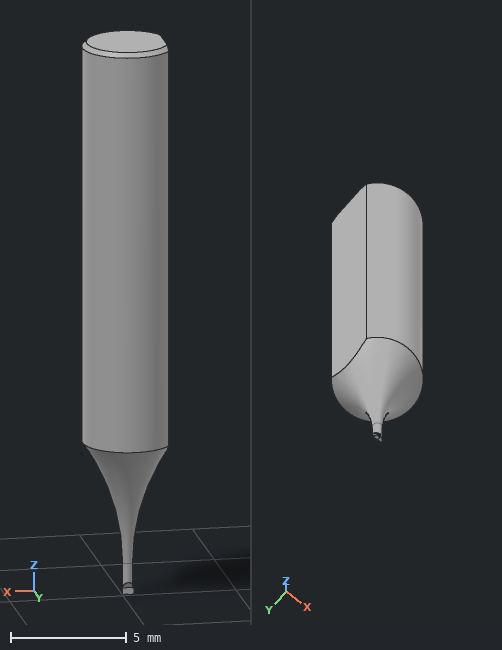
import cadquery as cq
import math

total_length = 25.0
shank_radius = 2.0
shank_bottom = 7.0
top_chamfer = 0.2
flat_offset = 1.6

neck_radius = 0.22
neck_top = 1.5
neck_bottom = 0.05

cutting_face_y = -0.02
relief_bottom = 0.35
relief_angle = 50.0

tooth_reach = 0.3
tooth_height = 0.32
nose_setback = 0.088
end_clearance_angle = 15.0

heel_height = 0.22
heel_face_y = -0.18


def flare_midpoint():
    """Point halfway along the flare arc, which leaves the neck tangentially."""
    rise = shank_bottom - neck_top
    spread = shank_radius - neck_radius
    flare_radius = (rise**2 + spread**2) / (2 * spread)
    half_sweep = math.asin(rise / flare_radius) / 2
    return (
        neck_radius + flare_radius * (1 - math.cos(half_sweep)),
        neck_top + flare_radius * math.sin(half_sweep),
    )


def turned_body():
    """Shank, flare and neck as one revolved solid."""
    mid_radius, mid_height = flare_midpoint()
    return (
        cq.Workplane("YZ")
        .moveTo(0, neck_bottom)
        .lineTo(-neck_radius, neck_bottom)
        .lineTo(-neck_radius, neck_top)
        .threePointArc((-mid_radius, mid_height), (-shank_radius, shank_bottom))
        .lineTo(-shank_radius, total_length - top_chamfer)
        .lineTo(top_chamfer - shank_radius, total_length)
        .lineTo(0, total_length)
        .close()
        .revolve(360, (0, 0), (0, 1))
    )


def shank_flat():
    """Material beyond the clamping flat on the -X side."""
    width = 2 * shank_radius
    return cq.Workplane("XY").box(
        width, width, total_length, centered=(False, True, False)
    ).translate((-flat_offset - width, 0, 0))


def face_relief():
    """Space on the +Y side of the cutting face, running out on a slope."""
    margin = 2 * neck_radius
    slope_rise = (margin - cutting_face_y) * math.tan(math.radians(relief_angle))
    return (
        cq.Workplane("YZ")
        .moveTo(cutting_face_y, 0)
        .lineTo(cutting_face_y, relief_bottom)
        .lineTo(margin, relief_bottom + slope_rise)
        .lineTo(margin, 0)
        .close()
        .extrude(margin, both=True)
    )


def tooth_blank():
    """Quarter section that reaches past the neck on -X and blends into it at X = 0."""
    back_radius = (tooth_reach**2 + neck_radius**2) / (2 * neck_radius)
    back_centre = back_radius - neck_radius
    half_sweep = math.asin(tooth_reach / back_radius) / 2
    back_middle = (
        -back_radius * math.sin(half_sweep),
        back_centre - back_radius * math.cos(half_sweep),
    )
    return (
        cq.Workplane("XY")
        .moveTo(0, 0)
        .lineTo(-tooth_reach, 0)
        .threePointArc(back_middle, (0, -neck_radius))
        .close()
        .extrude(tooth_height)
    )


def end_clearance():
    """Space under the pointed cutting edge, rising towards -Y behind the cutting face."""
    depth = 2 * neck_radius
    rise = depth * math.tan(math.radians(end_clearance_angle))
    edge_outline = (
        cq.Workplane("XZ", origin=(0, cutting_face_y, 0))
        .moveTo(0, neck_bottom)
        .lineTo(nose_setback - tooth_reach, 0)
        .lineTo(-tooth_reach, nose_setback)
        .lineTo(-2 * tooth_reach, nose_setback + tooth_reach)
        .lineTo(-2 * tooth_reach, -2 * rise)
        .lineTo(0, -2 * rise)
        .close()
    )
    sweep_direction = cq.Vector(0, -depth, rise)
    space = cq.Solid.extrudeLinear(edge_outline.wires().val(), [], sweep_direction)
    return cq.Workplane(space)


def heel_step():
    """Space behind the tooth between the nose and the axis plane X = 0."""
    width = tooth_reach - nose_setback
    return cq.Workplane("XY").box(
        width, neck_radius, heel_height, centered=False
    ).translate((-width, heel_face_y - neck_radius, 0))


body = turned_body().union(tooth_blank()).cut(shank_flat())
result = body.cut(face_relief()).cut(end_clearance()).cut(heel_step())